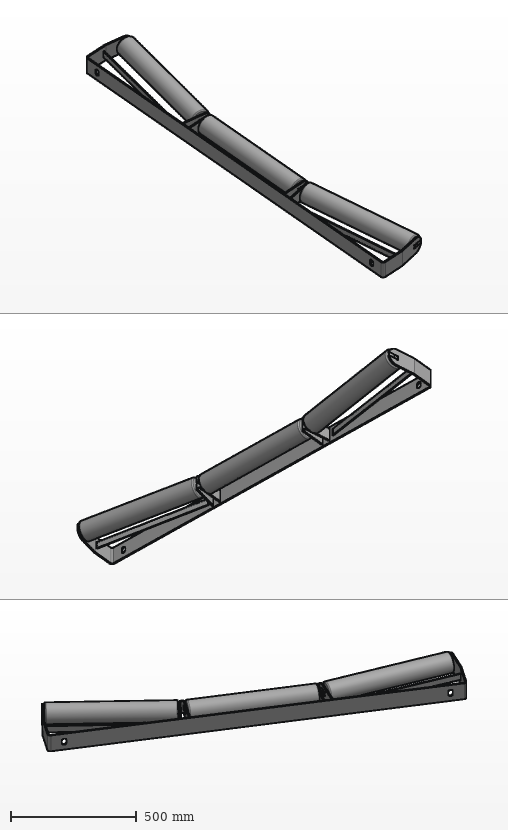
import cadquery as cq
import math


frame_length = 1700.0
strip_width = 80.0
plate = 6.0
corner_radius = 12.0
wall_bend_height = 107.0
trough_angle = 10.0
mount_slot_spacing = 1567.0
mount_slot_width = 19.0
mount_slot_height = 30.0

roller_radius = 45.0
roller_length = 530.0
rim_round = 5.0
shaft_radius = 10.0
shaft_flat_width = 17.0
shaft_overhang = 10.0
middle_axis_height = 99.0
wing_inner_x = 301.0
wing_inner_y = 104.0

saddle_inner_x = 269.0
saddle_width = 60.0
saddle_height = 131.0
saddle_bend_radius = 12.0

brace_wall_height = 99.0
brace_width = 30.0
brace_thickness = 5.0
brace_foot_x = 332.0

dome_drop = 3.0

tilt = math.radians(trough_angle)
half_length = frame_length / 2
wing_outer_y = wing_inner_y + roller_length * math.sin(tilt)


def mirrored(body):
    """Copy of a body on the other side of X = 0."""
    return body.mirror("YZ")


def extruded(outline, width):
    """Extrude an outline in the XY plane equally to both sides of Z = 0."""
    return outline.extrude(width / 2, both=True)


def make_roller():
    """Roller along X, starting at the origin, with a flat-sided shaft end at each side."""
    drum = cq.Workplane("YZ").circle(roller_radius).extrude(roller_length).edges().fillet(rim_round)
    shaft_length = roller_length + 2 * shaft_overhang
    shaft = cq.Workplane("YZ").workplane(offset=-shaft_overhang).circle(shaft_radius).extrude(shaft_length)
    flats = cq.Workplane("XY").box(
        shaft_length, 2 * shaft_radius, shaft_flat_width, centered=(False, True, True)
    ).translate((-shaft_overhang, 0, 0))
    return drum.union(shaft.intersect(flats))


def place_on_wing(body):
    """Move a body from the X axis onto the tilted axis of the right-hand roller."""
    return body.rotate((0, 0, 0), (0, 0, 1), trough_angle).translate((wing_inner_x, wing_inner_y, 0))


def shaft_slot(start, reach):
    """Cutter for a slot that receives a shaft end: `start` along the axis, open on the +Y side."""
    return cq.Workplane("XY").box(
        shaft_overhang, reach + shaft_radius, shaft_flat_width, centered=(False, False, True)
    ).translate((start, -shaft_radius, 0))


def make_brace():
    """Sloping strip from the base to the inner face of the end wall, with a square-cut foot."""
    inner_face = half_length - plate
    run = inner_face - brace_foot_x
    slope = math.atan((brace_wall_height - brace_thickness - plate) / run)
    wall_low_y = plate + run * math.tan(slope)
    wall_high_y = wall_low_y + brace_thickness / math.cos(slope)
    foot_top_x = brace_foot_x - brace_thickness * math.sin(slope)
    foot_top_y = plate + brace_thickness * math.cos(slope)
    return extruded(
        cq.Workplane("XY").polyline([
            (brace_foot_x, plate),
            (inner_face, wall_low_y),
            (inner_face, wall_high_y),
            (foot_top_x, foot_top_y),
        ]).close(), brace_width)


def make_bent_strip():
    """Base strip with rounded corners and upturned walls whose upper parts lean inward."""
    lean_length = (wing_outer_y - wall_bend_height) / math.cos(tilt) + strip_width / 2
    lean_x = half_length - lean_length * math.sin(tilt)
    lean_y = wall_bend_height + lean_length * math.cos(tilt)
    wall_x = plate * math.cos(tilt)
    wall_y = plate * math.sin(tilt)
    inner_bend_y = wall_bend_height - plate * math.tan(tilt / 2)
    inner_face = half_length - plate

    base = cq.Workplane("XY").box(frame_length, plate, strip_width, centered=(True, False, True))
    wall = extruded(
        cq.Workplane("XY").polyline([
            (half_length, 0),
            (half_length, wall_bend_height),
            (lean_x, lean_y),
            (lean_x - wall_x, lean_y - wall_y),
            (inner_face, inner_bend_y),
            (inner_face, 0),
        ]).close(), strip_width)
    strip = base.union(wall).union(mirrored(wall))
    strip = strip.edges("|Z and <Y").fillet(corner_radius)
    inner_corners = cq.selectors.BoxSelector(
        (-half_length, plate / 2, -strip_width), (half_length, 1.5 * plate, strip_width))
    return strip.edges("|Z").edges(inner_corners).fillet(corner_radius - plate)


def dome_cutter():
    """Cutter that leaves a half-round top on the end wall around the outer shaft end."""
    depth = 2 * shaft_overhang
    block_size = 4 * roller_radius
    surround = cq.Workplane("YZ").rect(block_size, block_size).extrude(depth)
    kept_disc = cq.Workplane("YZ").circle(strip_width / 2).extrude(depth)
    upper_half = cq.Workplane("XY").box(block_size, block_size, block_size, centered=(True, False, True))
    cutter = surround.cut(kept_disc).intersect(upper_half)
    return place_on_wing(cutter.translate((roller_length, -dome_drop, 0)))


def make_frame():
    """Bent strip with domed and slotted end walls and two mounting slots in the base."""
    frame = make_bent_strip()
    wall_slot = place_on_wing(shaft_slot(roller_length, 2 * roller_radius))
    for cutter in (dome_cutter(), wall_slot):
        frame = frame.cut(cutter).cut(mirrored(cutter))
    mount_slots = (
        cq.Workplane("XZ").pushPoints([(-mount_slot_spacing / 2, 0), (mount_slot_spacing / 2, 0)])
        .slot2D(mount_slot_height, mount_slot_width, 90).extrude(-plate)
    )
    return frame.cut(mount_slots)


def make_saddle():
    """Bent strip holding the middle roller in its upright leg and a wing roller in its leaning leg."""
    arc_y = saddle_height - saddle_bend_radius
    centre_x = saddle_inner_x + saddle_bend_radius
    inner_radius = saddle_bend_radius - plate
    lean_outer = (centre_x + saddle_bend_radius * math.cos(tilt), arc_y + saddle_bend_radius * math.sin(tilt))
    lean_inner = (centre_x + inner_radius * math.cos(tilt), arc_y + inner_radius * math.sin(tilt))
    foot_outer_x = lean_outer[0] + (lean_outer[1] - plate) * math.tan(tilt)
    foot_inner_x = lean_inner[0] + (lean_inner[1] - plate) * math.tan(tilt)
    saddle = extruded(
        cq.Workplane("XY").moveTo(saddle_inner_x, plate)
        .lineTo(saddle_inner_x, arc_y)
        .threePointArc((centre_x, saddle_height), lean_outer)
        .lineTo(foot_outer_x, plate)
        .lineTo(foot_inner_x, plate)
        .lineTo(*lean_inner)
        .threePointArc((centre_x, arc_y + inner_radius), (saddle_inner_x + plate, arc_y))
        .lineTo(saddle_inner_x + plate, plate)
        .close(), saddle_width)
    middle_slot = shaft_slot(roller_length / 2, saddle_height).translate((0, middle_axis_height, 0))
    wing_slot = place_on_wing(shaft_slot(-shaft_overhang, saddle_height))
    return saddle.cut(middle_slot).cut(wing_slot)


def mirrored_pair(body):
    """A body and its copy on the other side of X = 0."""
    return [body, mirrored(body)]


frame = make_frame()
braces = mirrored_pair(make_brace())
saddles = mirrored_pair(make_saddle())
middle_roller = make_roller().translate((-roller_length / 2, middle_axis_height, 0))
wing_rollers = mirrored_pair(place_on_wing(make_roller()))

bodies = [frame, *braces, *saddles, middle_roller, *wing_rollers]
result = cq.Compound.makeCompound([body.val() for body in bodies])